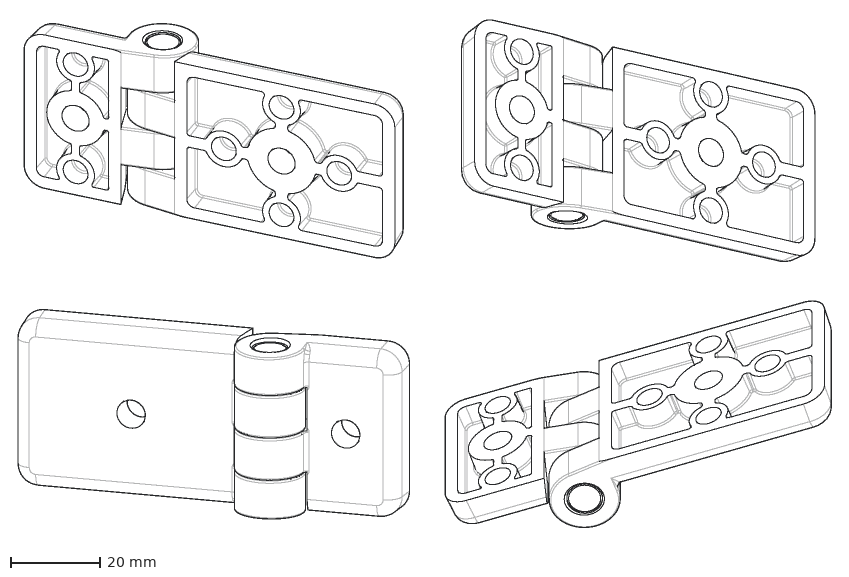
import cadquery as cq
import math


LEAF_WIDTH = 40.0
PLATE_THICKNESS = 8.5
AXIS_HEIGHT = 9.0
BARREL_RADIUS = 8.0
KNUCKLE_COUNT = 4
KNUCKLE_GAP = 0.2
BARREL_CLEARANCE = 0.5
ROOT_OFFSET = 6.5
OUTER_DRAFT = 3.0
CORNER_RADIUS = 5.0
TOP_EDGE_RADIUS = 3.5
BARREL_ROOT_RADIUS = 1.0
KNUCKLE_EDGE_RADIUS = 0.4

WALL = 3.0
POCKET_DEPTH = 5.0
POCKET_DRAFT = 1.5
POCKET_CORNER_RADIUS = 1.9
FLOOR_RADIUS = 0.4
MAIN_HOLE_DIAMETER = 6.6
BLIND_HOLE_DIAMETER = 6.0
BLIND_HOLE_SPACING = 14.0
SMALL_BOSS_RADIUS = 4.6

TANGENT_TOLERANCE = 0.05

PIN_DIAMETER = 8.0
PIN_RECESS = 0.6
PIN_CHAMFER = 0.4
BORE_CHAMFER = 0.5

SHORT_LENGTH = 30.0
SHORT_HOLE_DISTANCE = 17.5
SHORT_MAIN_BOSS_RADIUS = 7.0
SHORT_CROSS_RIB = 2.0
SHORT_RIB_CORNER_RADIUS = 0.5
LONG_LENGTH = 60.0
LONG_HOLE_DISTANCE = 32.5
LONG_MAIN_BOSS_RADIUS = 8.3
LONG_CROSS_RIB = 3.0
LONG_RIB_CORNER_RADIUS = 0.8
LENGTHWISE_RIB = 3.0

HALF_WIDTH = LEAF_WIDTH / 2
KNUCKLE_PITCH = LEAF_WIDTH / KNUCKLE_COUNT
KNUCKLE_WIDTH = KNUCKLE_PITCH - KNUCKLE_GAP
BARREL_TOP = AXIS_HEIGHT + BARREL_RADIUS
CLEARANCE_RADIUS = BARREL_RADIUS + BARREL_CLEARANCE
DRAFT_SLOPE = math.tan(math.radians(OUTER_DRAFT))
BARREL_END = HALF_WIDTH - KNUCKLE_GAP / 2 - AXIS_HEIGHT * DRAFT_SLOPE


def root_tangent(radius, side):
    """Point where a line from the leaf root touches a circle about the pin axis."""
    distance = math.hypot(ROOT_OFFSET, AXIS_HEIGHT)
    towards_root = math.atan2(-AXIS_HEIGHT, -ROOT_OFFSET)
    angle = towards_root + side * math.acos(radius / distance)
    return radius * math.cos(angle), AXIS_HEIGHT + radius * math.sin(angle)


def nearest(point):
    """Selector for the edge whose middle lies closest to a point."""
    return cq.selectors.NearestToPointSelector(point)


def across(start, end):
    """Workplane for profiles in X and height, with the Y distance they are extruded."""
    return cq.Workplane("XZ", origin=(0, end, 0)), end - start


def drafted_block(length, height):
    """Block mirrored about the pin axis, narrowing upwards on all sides."""
    return cq.Workplane("XY").rect(2 * length, LEAF_WIDTH).extrude(height, taper=OUTER_DRAFT)


def plate(length):
    """Rounded plate that ends at the leaf root."""
    blank = drafted_block(length, PLATE_THICKNESS)
    blank = blank.edges("not(|X or |Y)").fillet(CORNER_RADIUS)
    blank = blank.faces(">Z").edges().fillet(TOP_EDGE_RADIUS)
    keep = cq.Workplane("XY").box(length, LEAF_WIDTH, PLATE_THICKNESS, centered=(False, True, False))
    return blank.intersect(keep.translate((-length - ROOT_OFFSET, 0, 0)))


def add_knuckle(body, start, length):
    """Join a barrel section and its web, which runs tangent from the leaf root, to the plate."""
    end = start + KNUCKLE_WIDTH
    plane, width = across(start, end)
    envelope = drafted_block(length, BARREL_TOP)
    drum = plane.center(0, AXIS_HEIGHT).circle(BARREL_RADIUS).extrude(width).intersect(envelope)
    drum = drum.faces("<Y or >Y").edges().fillet(KNUCKLE_EDGE_RADIUS)
    touch = root_tangent(BARREL_RADIUS, 1)
    web = (
        plane.moveTo(-BARREL_RADIUS, 0)
        .lineTo(-ROOT_OFFSET, 0)
        .lineTo(*touch)
        .lineTo(0, AXIS_HEIGHT)
        .lineTo(-BARREL_RADIUS, AXIS_HEIGHT)
        .close()
        .extrude(width)
        .intersect(envelope)
    )
    web = web.faces("<X").edges("not |Y").fillet(KNUCKLE_EDGE_RADIUS)
    body = body.union(web)
    for y in (start, end):
        edge_middle = ((touch[0] - ROOT_OFFSET) / 2, y, touch[1] / 2)
        body = body.edges(nearest(edge_middle)).fillet(KNUCKLE_EDGE_RADIUS)
    return body.union(drum)


def knuckle_clearance(start, end):
    """Space for a knuckle of the other leaf."""
    plane, width = across(start, end)
    drum = plane.center(0, AXIS_HEIGHT).circle(CLEARANCE_RADIUS).extrude(width)
    touch = root_tangent(CLEARANCE_RADIUS, -1)
    below = plane.moveTo(-ROOT_OFFSET, 0).lineTo(*touch).lineTo(0, AXIS_HEIGHT).lineTo(0, 0).close()
    return drum.union(below.extrude(width))


def blind_hole_places(has_outer_rib):
    """Blind hole centres measured from the main hole."""
    across_leaf = [(0, BLIND_HOLE_SPACING), (0, -BLIND_HOLE_SPACING)]
    along_leaf = [(BLIND_HOLE_SPACING, 0), (-BLIND_HOLE_SPACING, 0)]
    return across_leaf + along_leaf if has_outer_rib else across_leaf


def is_sharp_corner(cell, edge):
    """True where the two walls beside an upright edge meet at an angle."""
    walls = [face for face in cell.Faces() if any(side.isSame(edge) for side in face.Edges())]
    normals = [wall.normalAt(edge.Center()) for wall in walls]
    return normals[0].cross(normals[-1]).Length > TANGENT_TOLERANCE


def pockets(length, hole_distance, main_boss_radius, cross_rib, corner_radius, has_outer_rib):
    """Underside recesses that leave the bosses and ribs standing."""
    pocket_length = length - ROOT_OFFSET - 2 * WALL
    pocket_width = LEAF_WIDTH - 2 * WALL
    outline = (
        cq.Workplane("XY", origin=(-length + WALL + pocket_length / 2, 0, 0))
        .rect(pocket_length, pocket_width)
        .extrude(POCKET_DEPTH)
    )
    round_corners = "|Z" if has_outer_rib else "|Z and <X"
    outline = outline.edges(round_corners).fillet(POCKET_CORNER_RADIUS)

    centre = cq.Workplane("XY", origin=(-hole_distance, 0, 0))
    islands = centre.circle(main_boss_radius).extrude(POCKET_DEPTH)
    islands = islands.union(
        centre.pushPoints(blind_hole_places(has_outer_rib)).circle(SMALL_BOSS_RADIUS).extrude(POCKET_DEPTH)
    )
    islands = islands.union(centre.rect(cross_rib, LEAF_WIDTH).extrude(POCKET_DEPTH))
    rib_start = -length if has_outer_rib else -hole_distance
    rib = cq.Workplane("XY").box(-rib_start, LENGTHWISE_RIB, POCKET_DEPTH, centered=(False, True, False))
    islands = islands.union(rib.translate((rib_start, 0, 0)))

    return [pocket_cutter(cell, corner_radius) for cell in outline.cut(islands).solids().vals()]


def pocket_cutter(cell, corner_radius):
    """Drafted pocket with rounded corners and a rounded floor edge, from its straight sided shape."""
    upright = cq.Workplane(obj=cell).edges("|Z").vals()
    corners = [edge for edge in upright if is_sharp_corner(cell, edge)]
    rounded = cell.fillet(corner_radius, corners)
    rim = cq.Workplane(obj=rounded).faces("<Z").wires().val()
    drafted = cq.Solid.extrudeLinear(rim, [], cq.Vector(0, 0, POCKET_DEPTH), POCKET_DRAFT)
    return cq.Workplane(obj=drafted).faces(">Z").edges().fillet(FLOOR_RADIUS).val()


def blind_holes(hole_distance, has_outer_rib):
    """Drafted holes with a rounded floor edge."""
    centre = cq.Workplane("XY", origin=(-hole_distance, 0, 0))
    holes = centre.pushPoints(blind_hole_places(has_outer_rib)).circle(BLIND_HOLE_DIAMETER / 2)
    return holes.extrude(POCKET_DEPTH, taper=POCKET_DRAFT).faces(">Z").edges().fillet(FLOOR_RADIUS)


def pin_bore():
    """Bore along the pin axis that opens out at the ends of the hinge."""
    plane, length = across(-HALF_WIDTH, HALF_WIDTH)
    bore = plane.center(0, AXIS_HEIGHT).circle(PIN_DIAMETER / 2).extrude(length)
    mouth_depth = HALF_WIDTH - BARREL_END + BORE_CHAMFER
    mouth_radius = PIN_DIAMETER / 2 + mouth_depth
    for end in (-1, 1):
        mouth = cq.Solid.makeCone(
            mouth_radius, PIN_DIAMETER / 2, mouth_depth,
            cq.Vector(0, end * HALF_WIDTH, AXIS_HEIGHT), cq.Vector(0, -end, 0),
        )
        bore = bore.union(cq.Workplane(obj=mouth))
    return bore


def leaf(length, hole_distance, main_boss_radius, cross_rib, corner_radius, has_outer_rib):
    """One leaf, reaching towards -X, with knuckles in every second place."""
    body = plate(length)
    knuckle_starts = [-HALF_WIDTH + 2 * KNUCKLE_PITCH * index for index in range(KNUCKLE_COUNT // 2)]
    for start in knuckle_starts:
        body = add_knuckle(body, start, length)
    for start in knuckle_starts:
        flat_start = max(start, TOP_EDGE_RADIUS - HALF_WIDTH)
        root = (-BARREL_RADIUS, (flat_start + start + KNUCKLE_WIDTH) / 2, PLATE_THICKNESS)
        body = body.edges(nearest(root)).fillet(BARREL_ROOT_RADIUS)
    for start in knuckle_starts:
        space_start = start + KNUCKLE_WIDTH
        body = body.cut(knuckle_clearance(space_start, space_start + KNUCKLE_PITCH + KNUCKLE_GAP))

    for pocket in pockets(length, hole_distance, main_boss_radius, cross_rib, corner_radius, has_outer_rib):
        body = body.cut(cq.Workplane(obj=pocket))
    body = body.cut(blind_holes(hole_distance, has_outer_rib))
    main_hole = cq.Workplane("XY", origin=(-hole_distance, 0, 0)).circle(MAIN_HOLE_DIAMETER / 2)
    body = body.cut(main_hole.extrude(PLATE_THICKNESS))

    body = body.translate((0, KNUCKLE_GAP / 2, 0))
    return body.cut(pin_bore())


def hinge_pin():
    """Chamfered pin, set back from the barrel ends."""
    half_length = BARREL_END - PIN_RECESS
    plane, length = across(-half_length, half_length)
    pin = plane.center(0, AXIS_HEIGHT).circle(PIN_DIAMETER / 2).extrude(length)
    return pin.faces("<Y or >Y").chamfer(PIN_CHAMFER)


def stand_upright(body):
    """Turn the flat hinge so that its pin is vertical and its mounting face looks towards -Y."""
    return body.rotate((0, 0, 0), (1, 0, 0), -90)


short_leaf = stand_upright(
    leaf(SHORT_LENGTH, SHORT_HOLE_DISTANCE, SHORT_MAIN_BOSS_RADIUS,
         SHORT_CROSS_RIB, SHORT_RIB_CORNER_RADIUS, has_outer_rib=False)
)
long_leaf = stand_upright(
    leaf(LONG_LENGTH, LONG_HOLE_DISTANCE, LONG_MAIN_BOSS_RADIUS,
         LONG_CROSS_RIB, LONG_RIB_CORNER_RADIUS, has_outer_rib=True)
    .rotate((0, 0, 0), (0, 0, 1), 180)
)
pin = stand_upright(hinge_pin())

result = cq.Compound.makeCompound([body.solids().val() for body in (short_leaf, long_leaf, pin)])